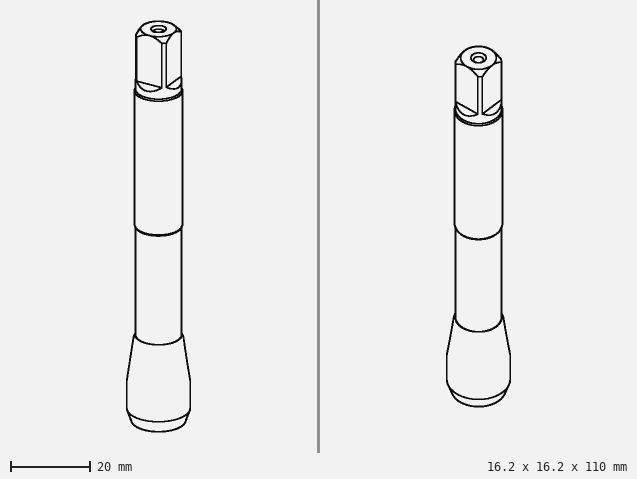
import cadquery as cq

LENGTH = 110.0

SHAFT_DIAMETER = 11.7
COLLAR_DIAMETER = 12.2
COLLAR_BOTTOM = 54.6
COLLAR_TOP = 93.1
COLLAR_CHAMFER_HEIGHT = 0.4
SQUARE_WIDTH = 9.0
SQUARE_BOTTOM = 96.2
BORE_DIAMETER = 2.5
COUNTERSINK_DIAMETER = 3.8
COUNTERSINK_ANGLE = 90.0

HEAD_DIAMETER = 16.2
HEAD_HEIGHT = 24.0
HEAD_TOP_DIAMETER = 11.9
HEAD_SHOULDER_DIAMETER = 12.8
HEAD_SHOULDER_HEIGHT = 23.0
HEAD_TAPER_BOTTOM = 10.8
HEAD_NOSE_HEIGHT = 3.4
HEAD_BOTTOM_DIAMETER = 13.9

SHAFT_RADIUS = SHAFT_DIAMETER / 2
SQUARE_SLOPE = (SHAFT_DIAMETER - SQUARE_WIDTH) / 2


def revolve_profile(points):
    """Turn a closed (radius, height) outline around the Z axis."""
    return cq.Workplane("XZ").polyline(points).close().revolve(360, (0, 0), (0, 1))


def make_shaft_blank():
    """Round bar with the chamfered collar and a 45 degree cone at the top."""
    collar_radius = COLLAR_DIAMETER / 2
    return revolve_profile([
        (0, 0),
        (SHAFT_RADIUS, 0),
        (SHAFT_RADIUS, COLLAR_BOTTOM),
        (collar_radius, COLLAR_BOTTOM + COLLAR_CHAMFER_HEIGHT),
        (collar_radius, COLLAR_TOP - COLLAR_CHAMFER_HEIGHT),
        (SHAFT_RADIUS, COLLAR_TOP),
        (SHAFT_RADIUS, LENGTH - SQUARE_SLOPE),
        (SQUARE_WIDTH / 2, LENGTH),
        (0, LENGTH),
    ])


def make_flat_cutter():
    """Material removed beside one flat of the square, with a sloped floor."""
    flat = SQUARE_WIDTH / 2
    return (
        cq.Workplane("XZ")
        .polyline([
            (flat, SQUARE_BOTTOM),
            (flat + SQUARE_SLOPE, SQUARE_BOTTOM - SQUARE_SLOPE),
            (flat + SQUARE_SLOPE, LENGTH),
            (flat, LENGTH),
        ])
        .close()
        .extrude(SHAFT_RADIUS, both=True)
    )


def make_shaft():
    shaft = make_shaft_blank()
    for angle in (0, 90, 180, 270):
        shaft = shaft.cut(make_flat_cutter().rotate((0, 0, 0), (0, 0, 1), angle))
    return shaft.faces(">Z").workplane().cskHole(BORE_DIAMETER, COUNTERSINK_DIAMETER, COUNTERSINK_ANGLE)


def make_head():
    """Knob with a straight bore that fits the shaft."""
    return revolve_profile([
        (SHAFT_RADIUS, 0),
        (HEAD_BOTTOM_DIAMETER / 2, 0),
        (HEAD_DIAMETER / 2, HEAD_NOSE_HEIGHT),
        (HEAD_DIAMETER / 2, HEAD_TAPER_BOTTOM),
        (HEAD_SHOULDER_DIAMETER / 2, HEAD_SHOULDER_HEIGHT),
        (HEAD_TOP_DIAMETER / 2, HEAD_HEIGHT),
        (SHAFT_RADIUS, HEAD_HEIGHT),
    ])


shaft = make_shaft()
head = make_head()
result = cq.Compound.makeCompound([shaft.val(), head.val()])